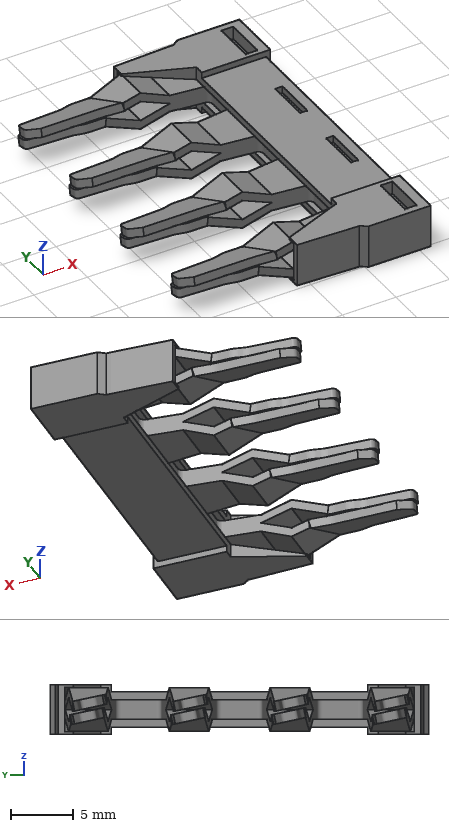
import cadquery as cq
import math

overlap = 0.3

prong_pitch = 8.1
prong_count = 4
prong_centres = [(i - (prong_count - 1) / 2) * prong_pitch for i in range(prong_count)]

bar_front = 15.7
bar_back = 21.72
bar_half_height = 1.43

length = 30.5
housing_half_width = length / 2
housing_front = 10.0
housing_back = 22.1
housing_height = 4.0
housing_half_height = housing_height / 2
housing_inner_y = 10.3
housing_front_y = 14.6
housing_step_y = 14.82
housing_step_start = 15.28
housing_step_end = 16.32
opening_front_y = 13.4
opening_back_y = 11.15
cavity_half_height = 1.8
cavity_outer_y = 14.05

slot_front = 20.07
middle_slot_width = 0.67
middle_slot_length = 3.95
end_slot_width = 1.1
end_slot_length = 3.87
end_slot_centre = 12.7

leaf_thickness = 0.8
root_front = 12.72
spine_front = 16.25
root_fillet = 0.37
root_half_width = 2.2
crest_x = 10.15
crest_height = 1.77
bend_slope = 0.36
bend_start = 6.7

twist = 12.0
blade_centre_height = 0.52
blade_half_width = 1.22
blade_end = 10.37
taper_start = 6.8
taper_radius = 4.88
nose_half_width = 0.6
nose_radius = 0.37
chamfer_end = 1.15
relief_x = 4.2
relief_half_width = 0.85
relief_end = 5.25
relief_radius = 2.15


def half_width_at(x):
    """Half width of the tapering part of a prong at position x."""
    taper = (root_half_width - blade_half_width) / (bar_front - taper_start)
    return blade_half_width + taper * (x - taper_start)


def box(x0, x1, y0, y1, z0, z1):
    return cq.Workplane("XY").box(x1 - x0, y1 - y0, z1 - z0, centered=False).translate((x0, y0, z0))


def prism(points, half_height):
    """Plan outline extruded equally above and below the mid plane."""
    return cq.Workplane("XY").polyline(points).close().extrude(half_height, both=True)


def twisted(body):
    """Place a blade-aligned body at the twisted pose of the upper blade."""
    return body.rotate((0, 0, 0), (1, 0, 0), -twist).translate((0, 0, blade_centre_height))


def round_corners_at(body, x, radius):
    """Round the upright edges that stand at position x."""
    reach = leaf_thickness / 2
    corner = (x - reach / 2, -root_half_width, -reach)
    opposite = (x + reach / 2, root_half_width, reach)
    return body.edges("|Z").edges(cq.selectors.BoxSelector(corner, opposite)).fillet(radius)


def blade():
    """Upper blade, chamfered on one nose corner and relieved along the other side."""
    end_half_width = half_width_at(blade_end)
    outline = [
        (0, -nose_half_width),
        (chamfer_end, -blade_half_width),
        (taper_start, -blade_half_width),
        (blade_end, -end_half_width),
        (blade_end, end_half_width),
        (taper_start, blade_half_width),
        (relief_end, blade_half_width),
        (relief_x, relief_half_width),
        (0, nose_half_width),
    ]
    flat = prism(outline, leaf_thickness / 2)
    flat = flat.edges("|Z and <X").fillet(nose_radius)
    for x, radius in ((relief_x, relief_radius), (relief_end, relief_radius), (taper_start, taper_radius)):
        flat = round_corners_at(flat, x, radius)
    return twisted(flat)


def blade_side():
    """Region on the blade's side of the mitre plane between blade and arm."""
    angle = math.radians(twist)
    blade_normal = cq.Vector(0, math.sin(angle), math.cos(angle))
    arm_normal = cq.Vector(-bend_slope, 0, 1).normalized()
    bend_height = blade_centre_height + leaf_thickness / 2 / math.cos(angle)
    bend_x = crest_x - (crest_height - bend_height) / bend_slope
    mitre = cq.Plane(origin=(bend_x, 0, bend_height), normal=arm_normal - blade_normal)
    return cq.Workplane(mitre).rect(length, length).extrude(length)


def arm():
    """Bent part of the upper leaf, from the root over the crest down to the blade."""
    vertical_thickness = leaf_thickness * math.hypot(1, bend_slope)
    start_height = crest_height - bend_slope * (crest_x - bend_start)
    profile = [
        (bend_start, start_height),
        (crest_x, crest_height),
        (root_front, leaf_thickness),
        (root_front, 0),
        (crest_x, crest_height - vertical_thickness),
        (bend_start, start_height - vertical_thickness),
    ]
    start_half = half_width_at(bend_start)
    root_half = half_width_at(root_front)
    plan = [
        (bend_start, -start_half),
        (root_front, -root_half),
        (root_front, root_half),
        (bend_start, start_half),
    ]
    bent = cq.Workplane("XZ").polyline(profile).close().extrude(root_half_width, both=True)
    return bent.intersect(prism(plan, housing_half_height))


def upper_leaf():
    region = blade_side()
    return blade().intersect(region).union(arm().cut(region))


def root():
    """Solid root with rounds where it meets the face of the spine."""
    front_half = half_width_at(root_front)
    back_half = half_width_at(spine_front)
    flare = back_half + root_fillet
    fillet_start = spine_front - root_fillet
    start_half = half_width_at(fillet_start)
    mid_x = fillet_start + root_fillet * math.sin(math.pi / 4)
    mid_half = flare - root_fillet * math.cos(math.pi / 4)
    return (
        cq.Workplane("XY")
        .moveTo(root_front, -front_half)
        .lineTo(fillet_start, -start_half)
        .threePointArc((mid_x, -mid_half), (spine_front, -flare))
        .lineTo(spine_front + overlap, -flare)
        .lineTo(spine_front + overlap, flare)
        .lineTo(spine_front, flare)
        .threePointArc((mid_x, mid_half), (fillet_start, start_half))
        .lineTo(root_front, front_half)
        .close()
        .extrude(leaf_thickness, both=True)
    )


def prong():
    """Root with its two leaves, the lower one being the upper turned half round about X."""
    upper = upper_leaf()
    lower = upper.rotate((0, 0, 0), (1, 0, 0), 180)
    return root().union(upper).union(lower)


def bar():
    """Straight bar with a groove along its front down to the spine."""
    reach = housing_inner_y + overlap
    body = box(bar_front, bar_back, -reach, reach, -bar_half_height, bar_half_height)
    groove = box(bar_front, spine_front, -reach, reach, -leaf_thickness, leaf_thickness)
    return body.cut(groove)


def housing():
    """Housing at the +Y end, with a wedge-shaped hollow open at its front and inner side."""
    outline = [
        (housing_front, opening_front_y),
        (bar_front, opening_back_y),
        (bar_front, housing_inner_y),
        (housing_back, housing_inner_y),
        (housing_back, housing_half_width),
        (housing_step_end, housing_half_width),
        (bar_front, housing_step_y),
        (housing_step_start, housing_step_y),
        (housing_front, housing_front_y),
    ]
    cavity_profile = [
        (housing_front, -cavity_half_height),
        (bar_front, -leaf_thickness),
        (bar_front, leaf_thickness),
        (housing_front, cavity_half_height),
    ]
    cavity = cq.Workplane("XZ").polyline(cavity_profile).close().extrude(-cavity_outer_y)
    groove = box(
        bar_front, spine_front, housing_inner_y, cavity_outer_y, -leaf_thickness, leaf_thickness
    )
    return prism(outline, housing_half_height).cut(cavity).cut(groove)


def slot(width, slot_length, centre_y):
    """Blind slot from the top down to the contact strip."""
    return box(
        slot_front,
        slot_front + width,
        centre_y - slot_length / 2,
        centre_y + slot_length / 2,
        leaf_thickness,
        housing_half_height,
    )


end_housing = housing()
result = bar().union(end_housing).union(end_housing.mirror("XZ"))

single_prong = prong()
for centre in prong_centres:
    result = result.union(single_prong.translate((0, centre, 0)))

for side in (-1, 1):
    result = result.cut(slot(middle_slot_width, middle_slot_length, side * prong_pitch / 2))
    result = result.cut(slot(end_slot_width, end_slot_length, side * end_slot_centre))